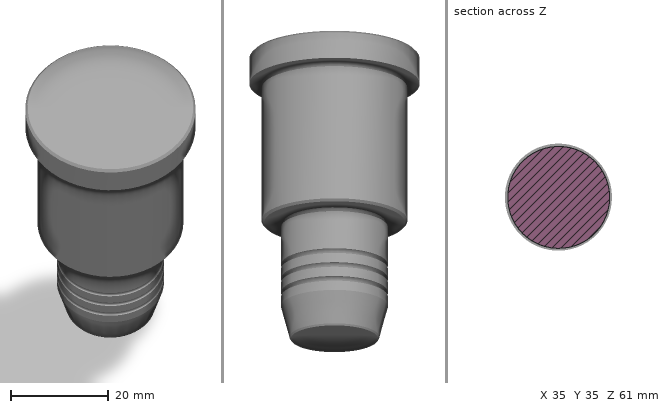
import cadquery as cq
import math

height = 61.0

head_diameter = 35.0
body_diameter = 30.0
pilot_diameter = 22.0

head_thickness = 6.0
head_bottom = height - head_thickness
body_bottom = 25.0

chamfer = 0.5
groove_radius = 0.5
neck_depth = 0.5
neck_height = 1.0

groove_count = 3
groove_pitch = 3.0
first_groove_top = 16.0

taper_height = 7.0
taper_angle = 15.0
tip_chamfer_height = 0.35
tip_chamfer_inset = 0.25

head_radius = head_diameter / 2
body_radius = body_diameter / 2
pilot_radius = pilot_diameter / 2
tip_radius = pilot_radius - (taper_height - tip_chamfer_height) * math.tan(math.radians(taper_angle))


def turned(profile):
    """Revolve a closed (radius, z) outline about the Z axis."""
    return cq.Workplane("XZ").polyline(profile).close().revolve(360, (0, 0, 0), (0, 1, 0))


def round_groove(radius, top):
    """Ring that cuts a half-round groove into a cylinder, downward from top."""
    middle = top - groove_radius
    return (
        cq.Workplane("XZ")
        .moveTo(radius, top)
        .threePointArc((radius - groove_radius, middle), (radius, top - 2 * groove_radius))
        .close()
        .revolve(360, (0, 0, 0), (0, 1, 0))
    )


head = (
    cq.Workplane("XY", origin=(0, 0, head_bottom))
    .circle(head_radius)
    .extrude(head_thickness)
    .faces(">Z")
    .edges()
    .chamfer(chamfer)
)

body = (
    cq.Workplane("XY", origin=(0, 0, body_bottom))
    .circle(body_radius)
    .extrude(head_bottom - body_bottom)
    .faces("<Z")
    .edges()
    .chamfer(chamfer)
    .cut(round_groove(body_radius, head_bottom))
)

neck_radius = pilot_radius - neck_depth
neck_bottom = body_bottom - neck_height
pilot = turned([
    (0, 0),
    (tip_radius - tip_chamfer_inset, 0),
    (tip_radius, tip_chamfer_height),
    (pilot_radius, taper_height),
    (pilot_radius, neck_bottom),
    (neck_radius, neck_bottom),
    (neck_radius, body_bottom),
    (0, body_bottom),
])
for index in range(groove_count):
    pilot = pilot.cut(round_groove(pilot_radius, first_groove_top - index * groove_pitch))

result = head.union(body).union(pilot)